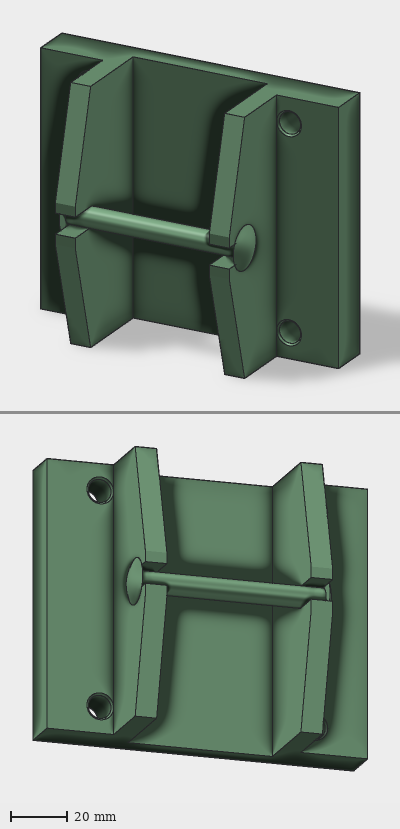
import cadquery as cq
import math

plate_width = 120.0
plate_height = 100.0
plate_thickness = 16.0
cheek_thickness = 8.0
cheek_gap = 54.0
bracket_depth = 51.5
channel_floor = 8.0
taper_start_depth = 40.0
tip_height = 16.0

hole_inset_x = 19.9
hole_inset_z = 10.0
hole_diameter = 8.5
chamfer_diameter = 10.0
chamfer_width = (chamfer_diameter - hole_diameter) / 2

pin_diameter = 8.0
pin_depth = 40.0
head_diameter = 17.0
head_height = 2.5

cheek_span = cheek_gap + 2 * cheek_thickness


def make_plate():
    return cq.Workplane("XY").box(
        plate_width, plate_thickness, plate_height
    ).translate((0, -plate_thickness / 2, 0))


def make_cheeks():
    """Block with the tapered cheek profile, spanning both cheeks."""
    half_height = plate_height / 2
    half_tip = tip_height / 2
    profile = [
        (0, -half_height),
        (-taper_start_depth, -half_height),
        (-bracket_depth, -half_tip),
        (-bracket_depth, half_tip),
        (-taper_start_depth, half_height),
        (0, half_height),
    ]
    return (
        cq.Workplane("YZ")
        .polyline(profile)
        .close()
        .extrude(cheek_span / 2, both=True)
    )


def make_channel():
    """Space between the cheeks, cut part way into the plate."""
    channel_depth = bracket_depth - channel_floor
    return cq.Workplane("XY").box(cheek_gap, channel_depth, plate_height).translate(
        (0, -channel_floor - channel_depth / 2, 0)
    )


def make_pin_slot():
    """Open slot with a round end that seats the pin."""
    slot_length = bracket_depth - pin_depth
    round_end = (
        cq.Workplane("YZ")
        .center(-pin_depth, 0)
        .circle(pin_diameter / 2)
        .extrude(cheek_span / 2, both=True)
    )
    mouth = cq.Workplane("XY").box(cheek_span, slot_length, pin_diameter).translate(
        (0, -pin_depth - slot_length / 2, 0)
    )
    return round_end.union(mouth)


def make_mounting_hole(x, z):
    """Through hole with a chamfered rim on the front face of the plate."""
    hole = (
        cq.Workplane("XZ")
        .center(x, z)
        .circle(hole_diameter / 2)
        .extrude(plate_thickness)
    )
    rim = cq.Solid.makeCone(
        chamfer_diameter / 2,
        hole_diameter / 2,
        chamfer_width,
        pnt=cq.Vector(x, -plate_thickness, z),
        dir=cq.Vector(0, 1, 0),
    )
    return hole.union(cq.Workplane(rim))


def make_bracket():
    bracket = make_plate().union(make_cheeks()).cut(make_channel()).cut(make_pin_slot())
    hole_x = plate_width / 2 - hole_inset_x
    hole_z = plate_height / 2 - hole_inset_z
    for x in (-hole_x, hole_x):
        for z in (-hole_z, hole_z):
            bracket = bracket.cut(make_mounting_hole(x, z))
    return bracket


def make_pin():
    """Round pin with a shallow domed head against the outside of each cheek."""
    half_span = cheek_span / 2
    half_length = half_span + head_height
    shank_radius = pin_diameter / 2
    head_radius = head_diameter / 2
    dome_radius = (head_radius**2 + head_height**2) / (2 * head_height)
    dome_mid_radius = head_radius / 2
    dome_mid_x = half_length - dome_radius + math.sqrt(dome_radius**2 - dome_mid_radius**2)
    half_section = (
        cq.Workplane("XY")
        .moveTo(-half_length, 0)
        .threePointArc((-dome_mid_x, dome_mid_radius), (-half_span, head_radius))
        .lineTo(-half_span, shank_radius)
        .lineTo(half_span, shank_radius)
        .lineTo(half_span, head_radius)
        .threePointArc((dome_mid_x, dome_mid_radius), (half_length, 0))
        .close()
    )
    pin = half_section.revolve(360, (0, 0, 0), (1, 0, 0))
    return pin.translate((0, -pin_depth, 0))


bracket = make_bracket()
pin = make_pin()
result = cq.Compound.makeCompound([bracket.solids().val(), pin.val()])